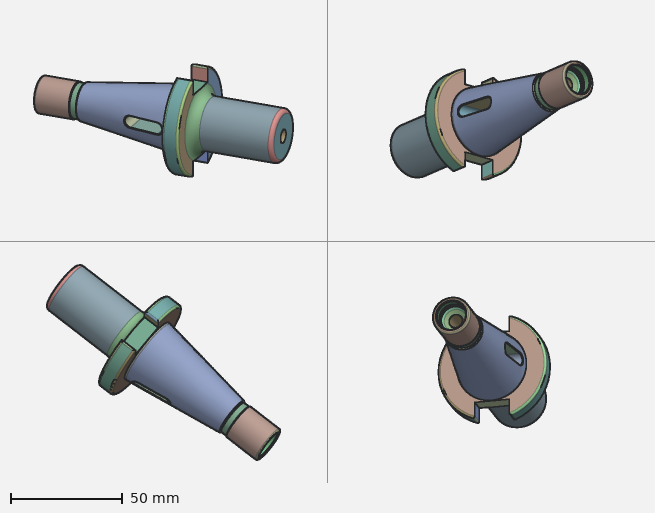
import cadquery as cq
import math

total_length = 118.4
pilot_end = 17.3
relief_end = 20.6
taper_end = 69.1
flange_start = 70.0
flange_width = 7.9
flange_end = flange_start + flange_width

pilot_radius = 17.4 / 2
relief_radius = 16.7 / 2
gauge_radius = 16.0
taper_per_length = 7 / 24
flange_radius = 25.1
shank_radius = 25.1 / 2

pilot_edge_fillet = 0.8
relief_shoulder_length = 0.6
shank_edge_fillet = 2.0
shank_root_fillet = 5.0
flange_edge_fillet = 1.1

notch_width = 16.0
notch_floor = 16.2
notch_edge_round = 0.8

slot_start = 46.4
slot_end = 65.8
slot_width = 5.5
slot_edge_chamfer = 0.4

recess_radius = 6.6
recess_end = 3.8
mouth_chamfer = 0.5
step_cone_length = 0.6
step_depth = 0.2
step_land_length = 0.8
countersink_radius = 5.2
through_radius = 3.1
drill_point_half_angle = math.radians(60)


def revolve_about_x(profile):
    return profile.close().revolve(360, (0, 0, 0), (1, 0, 0))


def make_body():
    """Pilot, relief neck, taper, flange and shank turned as one piece."""
    taper_start = relief_end + relief_shoulder_length
    taper_small_radius = gauge_radius - (taper_end - taper_start) * taper_per_length / 2
    relief_depth = pilot_radius - relief_radius
    arc_lean = shank_root_fillet * (1 - math.sqrt(0.5))
    profile = (
        cq.Workplane("XY")
        .lineTo(0, pilot_radius)
        .lineTo(pilot_end, pilot_radius)
        .lineTo(pilot_end + relief_depth, relief_radius)
        .lineTo(relief_end, relief_radius)
        .lineTo(taper_start, taper_small_radius)
        .lineTo(taper_end, gauge_radius)
        .lineTo(flange_start, gauge_radius)
        .lineTo(flange_start, flange_radius)
        .lineTo(flange_end, flange_radius)
        .lineTo(flange_end, shank_radius + shank_root_fillet)
        .threePointArc(
            (flange_end + arc_lean, shank_radius + arc_lean),
            (flange_end + shank_root_fillet, shank_radius),
        )
        .lineTo(total_length, shank_radius)
        .lineTo(total_length, 0)
    )
    body = revolve_about_x(profile)
    body = body.faces("<X").edges().fillet(pilot_edge_fillet)
    body = body.faces(">X").edges().fillet(shank_edge_fillet)
    flange_rims = cq.selectors.RadiusNthSelector(-1)
    return body.edges("%CIRCLE").edges(flange_rims).fillet(flange_edge_fillet)


def cut_notches(body):
    """Cut both driving notches, flared by a round where the walls meet the flange rim."""
    half_notch = notch_width / 2
    round_centre_y = half_notch + notch_edge_round
    round_centre_reach = flange_radius - notch_edge_round
    round_centre_z = math.sqrt(round_centre_reach**2 - round_centre_y**2)
    rim_angle = math.atan2(round_centre_z, round_centre_y)

    def on_round(angle):
        y = round_centre_y + notch_edge_round * math.cos(angle)
        z = round_centre_z + notch_edge_round * math.sin(angle)
        return y, z

    rim_point = on_round(rim_angle)
    half_profile = (
        cq.Workplane("YZ", origin=(flange_start, 0, 0))
        .moveTo(0, notch_floor)
        .lineTo(half_notch, notch_floor)
        .lineTo(half_notch, round_centre_z)
        .threePointArc(on_round((rim_angle + math.pi) / 2), rim_point)
        .lineTo(rim_point[0], flange_radius)
        .lineTo(0, flange_radius)
        .close()
    )
    half_notch_solid = half_profile.extrude(flange_width + shank_root_fillet)
    notch = half_notch_solid.union(half_notch_solid.mirror("XZ"))
    return body.cut(notch).cut(notch.mirror("XY"))


def cut_drift_slot(body):
    """Cut the round-ended slot right through the taper and chamfer both mouths."""
    slot_length = slot_end - slot_start
    slot = (
        cq.Workplane("XZ")
        .center((slot_start + slot_end) / 2, 0)
        .slot2D(slot_length, slot_width)
        .extrude(flange_radius, both=True)
    )
    body = body.cut(slot)
    mouths = cq.selectors.BoxSelector(
        (slot_start - slot_width, -gauge_radius, -slot_width),
        (taper_end, gauge_radius, slot_width),
        boundingbox=True,
    )
    return body.edges(mouths).edges("not |Y").chamfer(slot_edge_chamfer)


def cut_bore(body):
    """Chamfered recess, two small steps, countersink, drill point and a hole right through."""
    stepped_radius = recess_radius - 2 * step_depth
    drill_point_length = (countersink_radius - through_radius) / math.tan(drill_point_half_angle)
    countersink_length = stepped_radius - countersink_radius
    profile = (
        cq.Workplane("XY")
        .lineTo(0, recess_radius + mouth_chamfer)
        .lineTo(mouth_chamfer, recess_radius)
        .lineTo(recess_end, recess_radius)
        .line(step_cone_length, -step_depth)
        .line(step_land_length, 0)
        .line(step_cone_length, -step_depth)
        .line(countersink_length, -countersink_length)
        .line(drill_point_length, through_radius - countersink_radius)
        .lineTo(total_length, through_radius)
        .lineTo(total_length, 0)
    )
    return body.cut(revolve_about_x(profile))


result = cut_bore(cut_drift_slot(cut_notches(make_body())))